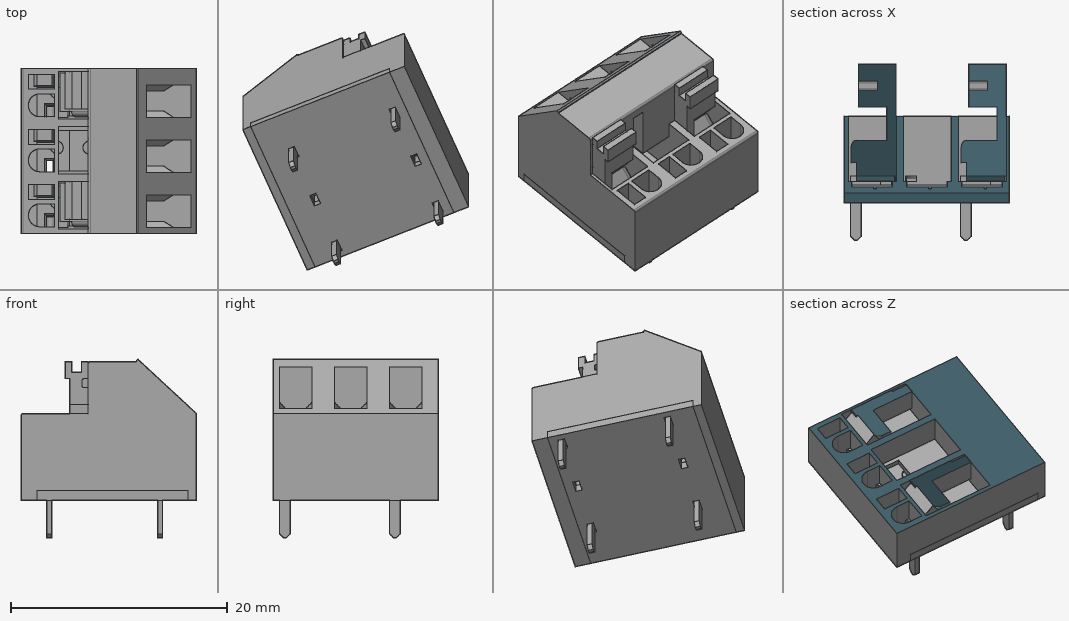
import cadquery as cq

pole_count = 3
pole_pitch = 5.08
pole_centres = [(i - (pole_count - 1) / 2) * pole_pitch for i in range(pole_count)]
fitted_poles = [pole_centres[0], pole_centres[-1]]

length = 16.2
width = pole_count * pole_pitch
x_front = -length / 2
x_back = length / 2
deck_z = 8.02
roof_z = 12.82
roof_wall_x = -1.9
ridge_start_x = 2.54
ridge_x = 2.69
ridge_foot_z = 12.9
ridge_z = 13.04
edge_radius = 0.2

cover_front_x = -6.62
cover_back_x = 7.31
cover_height = 0.89

well_front_x = -7.42
well_back_x = -5.02
well_ledge_x = -6.63
well_ledge_z = 2.31
probe_low_y = 0.63
probe_high_y = 2.0
release_radius = 1.05
release_y = -0.85
web_size = 0.43

pad_front_x = -7.13
pad_back_x = -5.05
pad_low_y = 0.81
pad_height = 0.71
pad_front_run = 0.5
pad_back_run = 0.2
pad_side_run = 0.16

slot_front_x = -4.62
slot_low_y = -2.13
slot_high_y = 2.26
bed_z = 1.98
floor_low_y = -1.83
floor_high_y = 1.88
floor_z = 1.65
floor_step_x = -3.63
deep_floor_z = 1.48
dimple_radius = 1.2 / 2
dimple_y = 0.31
dimple_xs = [-4.8, -1.78]
dimple_z = 1.32

chamber_top_z = 6.35
recess_low_y = 1.12
recess_top_z = 11.86
recess_back_x = 2.31
ceiling_fall = 0.93

funnel_front_x = 3.46
funnel_back_x = 7.59
funnel_width = 3.0
funnel_y = -0.46
cheek_size = 0.56
cheek_short_x = 5.08
cheek_long_x = 5.97

strip_thickness = 0.48
strip_top_z = bed_z + strip_thickness
pin_width = 1.0
pin_y = -1.47
pin_low_y = pin_y - pin_width / 2
pin_high_y = pin_y + pin_width / 2
pin_front_x = -5.75
pin_back_x = 4.98
pin_tip_z = ridge_z - 16.5
pin_chamfer = 0.38
bend_radius = 1.2 / 2
bend_inner_radius = bend_radius - strip_thickness
tab_back_x = -3.78

opening_length = 0.61
opening_high_y = -0.87
mouth_depth = 0.2
mouth_inner_x = 0.15

spring_low_y = 0.81
spring_high_y = 1.85
spring_back_x = floor_step_x

head_front_x = -4.03
head_low_y = -1.22
head_under_z = 11.24
stem_front_x = -3.61
stem_under_z = 8.85
leg_low_y = 1.39
finger_notch_front_x = -3.4
finger_notch_back_x = -2.52
finger_notch_z = 11.85
grip_front_x = -2.46
grip_under_z = 10.41
grip_radius = 0.16
grip_depth = (slot_high_y - head_low_y) / 2
plate_front_x = -4.5
plate_low_y = -1.42
plate_high_y = 2.13
plate_wall_z = 6.25
plate_rise = 0.95
shoulder_radius = 1.0 / 2
shoulder_front_x = -3.43


def box(x0, x1, y0, y1, z0, z1):
    """Box between two opposite corners."""
    return cq.Workplane("XY").box(x1 - x0, y1 - y0, z1 - z0, centered=False).translate((x0, y0, z0))


def side_prism(points, y0, y1):
    """Prism with an outline in X and Z, running from y0 to y1."""
    return cq.Workplane("XZ", origin=(0, y0, 0)).polyline(points).close().extrude(y0 - y1)


def plate_z(x):
    """Height of the lever's sloping plate."""
    return plate_wall_z + plate_rise * (x - roof_wall_x)


def ceiling_z(x):
    """Height of the slanted ceiling of the recess."""
    return recess_top_z - ceiling_fall * (x - roof_wall_x)


def sloping_face_z(x):
    """Height of the sloping wire face of the housing."""
    return deck_z + (ridge_z - deck_z) * (x_back - x) / (x_back - ridge_x)


def make_housing_block():
    """Solid outline with a flat deck, a high roof and a sloping wire face."""
    outline = [
        (x_front, 0),
        (x_back, 0),
        (x_back, deck_z),
        (ridge_x, ridge_z),
        (ridge_start_x, ridge_foot_z),
        (ridge_start_x, roof_z),
        (roof_wall_x, roof_z),
        (roof_wall_x, deck_z),
        (x_front, deck_z),
    ]
    block = side_prism(outline, -width / 2, width / 2)
    for x, z in [(x_front, deck_z), (roof_wall_x, roof_z)]:
        block = block.edges(cq.selectors.NearestToPointSelector((x, 0, z))).fillet(edge_radius)
    return block


def make_wells():
    """Release well with a corner web and probe well with a pad, both with a ledge at the front."""
    round_x = well_front_x + release_radius
    rectangle = box(
        round_x, well_back_x, release_y - release_radius, release_y + release_radius, bed_z, deck_z
    )
    round_end = (
        cq.Workplane("XY", origin=(round_x, release_y, bed_z))
        .circle(release_radius)
        .extrude(deck_z - bed_z)
    )
    probe = box(well_front_x, well_back_x, probe_low_y, probe_high_y, bed_z, deck_z)
    web = (
        cq.Workplane("XY", origin=(well_back_x, release_y + release_radius, bed_z))
        .polyline([(0, 0), (-web_size, 0), (0, -web_size)])
        .close()
        .extrude(well_ledge_z - bed_z)
    )
    ledge = box(well_front_x, well_ledge_x, slot_low_y, slot_high_y, bed_z, well_ledge_z)
    return rectangle.union(round_end).cut(web).union(probe).cut(ledge).cut(make_pad())


def make_pad():
    """Pad with ramps at its front, back and low-Y side."""
    top_z = bed_z + pad_height
    profile = [
        (pad_front_x, bed_z),
        (pad_back_x, bed_z),
        (pad_back_x - pad_back_run, top_z),
        (pad_front_x + pad_front_run, top_z),
    ]
    ramp = (
        cq.Workplane("YZ", origin=(pad_front_x, 0, 0))
        .moveTo(pad_low_y, bed_z)
        .lineTo(pad_low_y + pad_side_run, top_z)
        .lineTo(pad_low_y, top_z)
        .close()
        .extrude(pad_back_x - pad_front_x)
    )
    return side_prism(profile, pad_low_y, probe_high_y).cut(ramp)


def make_lever_slot():
    """Slot with a stepped floor and two part-round dimples."""
    slot = box(slot_front_x, roof_wall_x, slot_low_y, slot_high_y, bed_z, deck_z)
    slot = slot.union(box(slot_front_x, floor_step_x, floor_low_y, floor_high_y, floor_z, bed_z))
    slot = slot.union(box(floor_step_x, roof_wall_x, floor_low_y, floor_high_y, deep_floor_z, bed_z))
    dimples = (
        cq.Workplane("XY", origin=(0, 0, dimple_z))
        .pushPoints([(x, dimple_y) for x in dimple_xs])
        .circle(dimple_radius)
        .extrude(bed_z - dimple_z)
    )
    slot_bounds = box(slot_front_x, roof_wall_x, floor_low_y, floor_high_y, dimple_z, bed_z)
    return slot.union(dimples.intersect(slot_bounds))


def make_recess():
    """Wide chamber under the roof wall and the narrow recess above it."""
    outline = [
        (roof_wall_x, bed_z),
        (recess_back_x, bed_z),
        (recess_back_x, ceiling_z(recess_back_x)),
        (roof_wall_x, recess_top_z),
    ]
    chamber = box(roof_wall_x, recess_back_x, slot_low_y, slot_high_y, bed_z, chamber_top_z)
    return side_prism(outline, recess_low_y, slot_high_y).union(chamber)


def make_funnel():
    """Flat-floored pocket narrowed towards the front by a sloping cheek on each side."""
    low_y = funnel_y - funnel_width / 2
    floor = sloping_face_z(funnel_back_x)
    pocket = box(funnel_front_x, funnel_back_x, low_y, low_y + funnel_width, floor, ridge_z)
    cheek = (
        cq.Workplane("YZ", origin=(funnel_front_x, 0, 0))
        .polyline([(low_y, floor), (low_y + cheek_size, floor), (low_y, floor + cheek_size)])
        .close()
        .extrude(cheek_long_x - funnel_front_x)
    )
    footprint = (
        cq.Workplane("XY", origin=(0, 0, floor))
        .polyline(
            [
                (funnel_front_x, low_y),
                (cheek_long_x, low_y),
                (cheek_short_x, low_y + cheek_size),
                (funnel_front_x, low_y + cheek_size),
            ]
        )
        .close()
        .extrude(cheek_size)
    )
    cheek = cheek.intersect(footprint)
    return pocket.cut(cheek).cut(cheek.mirror("XZ", (0, funnel_y, 0)))


def make_pin_openings():
    """Openings for the two pins, through the housing floor and the cover."""
    front = box(pin_front_x, pin_front_x + opening_length, pin_low_y, opening_high_y, 0, bed_z)
    back = box(pin_back_x - opening_length, pin_back_x, pin_low_y, opening_high_y, 0, bed_z)
    return front.union(back)


def make_pin_mouth():
    """Sloping mouth of the front pin opening, at the bottom of the release well."""
    x1 = pin_front_x + opening_length
    outline = [
        (pin_front_x - mouth_depth, bed_z),
        (pin_front_x, bed_z - mouth_depth),
        (x1, bed_z - mouth_depth),
        (x1 + mouth_inner_x, bed_z),
    ]
    mouth = side_prism(outline, pin_low_y, opening_high_y + mouth_depth)
    keep = (
        cq.Workplane("YZ", origin=(pin_front_x - mouth_depth, 0, 0))
        .moveTo(opening_high_y, bed_z - mouth_depth)
        .lineTo(opening_high_y + mouth_depth, bed_z - mouth_depth)
        .lineTo(opening_high_y + mouth_depth, bed_z)
        .close()
        .extrude(opening_length + mouth_depth + mouth_inner_x)
    )
    return mouth.cut(keep)


def make_contact_tunnel():
    """Passage for the contact strip from the front pin to the back pin."""
    return box(pin_front_x, pin_back_x, pin_low_y, pin_high_y, bed_z, strip_top_z)


def make_cover_blank():
    """Cover plate before the pin openings are cut."""
    return box(cover_front_x, cover_back_x, -width / 2, width / 2, 0, cover_height)


def make_housing():
    """Housing with every cut repeated at each pole."""
    housing = make_housing_block().cut(make_cover_blank())
    pole_cuts = [
        make_wells(),
        make_lever_slot(),
        make_recess(),
        make_funnel(),
        make_pin_openings(),
        make_pin_mouth(),
        make_contact_tunnel(),
    ]
    for y in pole_centres:
        for pole_cut in pole_cuts:
            housing = housing.cut(pole_cut.translate((0, y, 0)))
    return housing


def make_cover():
    """Bottom cover, flush with the underside and the side walls of the housing."""
    cover = make_cover_blank()
    for y in pole_centres:
        cover = cover.cut(make_pin_openings().translate((0, y, 0)))
    return cover


def make_contact():
    """Bent strip with a pin at each end and a wide plate under the lever."""
    strip = box(pin_front_x, pin_back_x, pin_low_y, pin_high_y, pin_tip_z, strip_top_z)
    strip = strip.edges("|Y and >Z").fillet(bend_radius)
    inside = box(
        pin_front_x + strip_thickness, pin_back_x - strip_thickness, pin_low_y, pin_high_y, pin_tip_z, bed_z
    )
    strip = strip.cut(inside.edges("|Y and >Z").fillet(bend_inner_radius))
    strip = strip.edges("|X and <Z").chamfer(pin_chamfer)

    plate = box(slot_front_x, roof_wall_x, plate_low_y, plate_high_y, bed_z, strip_top_z)
    plate = plate.cut(box(slot_front_x, spring_back_x, spring_low_y, spring_high_y, bed_z, strip_top_z))
    side_gap = box(tab_back_x, roof_wall_x, pin_low_y, plate_low_y, bed_z, strip_top_z)
    return strip.cut(side_gap).union(plate)


def make_spring():
    """Flat spring block standing in the notch of the contact plate."""
    return box(slot_front_x, spring_back_x, spring_low_y, spring_high_y, floor_z, strip_top_z)


def make_lever_head():
    """Head and stem with a finger notch on top and a blind rounded groove at the back."""
    outline = [
        (head_front_x, head_under_z),
        (stem_front_x, head_under_z),
        (stem_front_x, stem_under_z),
        (roof_wall_x, stem_under_z),
        (roof_wall_x, roof_z),
        (finger_notch_back_x, roof_z),
        (finger_notch_back_x, finger_notch_z),
        (finger_notch_front_x, finger_notch_z),
        (finger_notch_front_x, roof_z),
        (head_front_x, roof_z),
    ]
    head = side_prism(outline, head_low_y, slot_high_y)
    groove = box(
        grip_front_x, roof_wall_x, head_low_y, head_low_y + grip_depth, grip_under_z, head_under_z
    )
    return head.cut(groove.edges("|Y and <X").fillet(grip_radius))


def make_lever_plate():
    """Sloping plate with a tongue that reaches up to the ceiling of the recess."""
    outline = [
        (plate_front_x, strip_top_z),
        (roof_wall_x, strip_top_z),
        (roof_wall_x, plate_wall_z),
        (plate_front_x, plate_z(plate_front_x)),
    ]
    plate = side_prism(outline, plate_low_y, plate_high_y)
    tongue_x = roof_wall_x + (recess_top_z - plate_wall_z) / (plate_rise + ceiling_fall)
    tongue = [
        (roof_wall_x, strip_top_z),
        (recess_back_x, strip_top_z),
        (recess_back_x, ceiling_z(recess_back_x)),
        (tongue_x, plate_z(tongue_x)),
        (roof_wall_x, plate_wall_z),
    ]
    return plate.union(side_prism(tongue, recess_low_y, plate_high_y))


def make_lever_shoulder():
    """Rounded shoulder along the low-Y edge of the sloping plate."""
    front_z = plate_z(shoulder_front_x)
    outline = [
        (shoulder_front_x, front_z),
        (roof_wall_x, front_z - (roof_wall_x - shoulder_front_x) / plate_rise),
        (roof_wall_x, plate_wall_z),
    ]
    low_y = plate_low_y - shoulder_radius
    shoulder = side_prism(outline, low_y, plate_low_y + shoulder_radius)
    middle_x = (shoulder_front_x + roof_wall_x) / 2
    rounded_edge = cq.selectors.NearestToPointSelector((middle_x, low_y, plate_z(middle_x)))
    return shoulder.edges(rounded_edge).fillet(shoulder_radius)


def make_lever():
    """Head, sloping plate and shoulder, with a leg that runs from the stem into the recess."""
    leg_back_x = roof_wall_x + (stem_under_z - plate_wall_z) / plate_rise
    leg = box(stem_front_x, leg_back_x, leg_low_y, slot_high_y, strip_top_z, stem_under_z)
    return make_lever_head().union(leg).union(make_lever_plate()).union(make_lever_shoulder())


housing = make_housing()
cover = make_cover()
levers = [make_lever().translate((0, y, 0)) for y in fitted_poles]
contacts = [make_contact().translate((0, y, 0)) for y in fitted_poles]
springs = [make_spring().translate((0, y, 0)) for y in fitted_poles]

bodies = [housing, cover, *levers, *contacts, *springs]
result = cq.Compound.makeCompound([body.solids().val() for body in bodies])